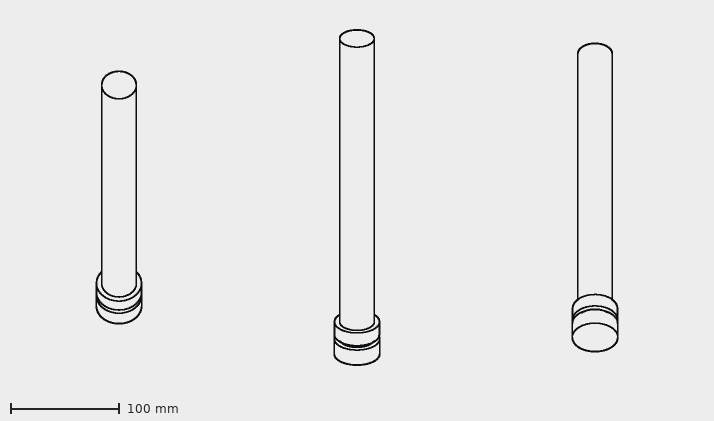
import cadquery as cq

rod_diameter = 32.0
rod_length_above_collar = 300.0
base_diameter = 42.0
base_height = 16.0
groove_width = 4.5
collar_diameter = 41.5
collar_height = 13.5

collar_bottom = base_height + groove_width
total_length = collar_bottom + collar_height + rod_length_above_collar


def disc(diameter, bottom, height):
    """Solid cylinder on the Z axis, standing on the given level."""
    return cq.Workplane("XY").workplane(offset=bottom).circle(diameter / 2).extrude(height)


rod = disc(rod_diameter, 0, total_length)
base = disc(base_diameter, 0, base_height)
collar = disc(collar_diameter, collar_bottom, collar_height)

result = rod.union(base).union(collar)